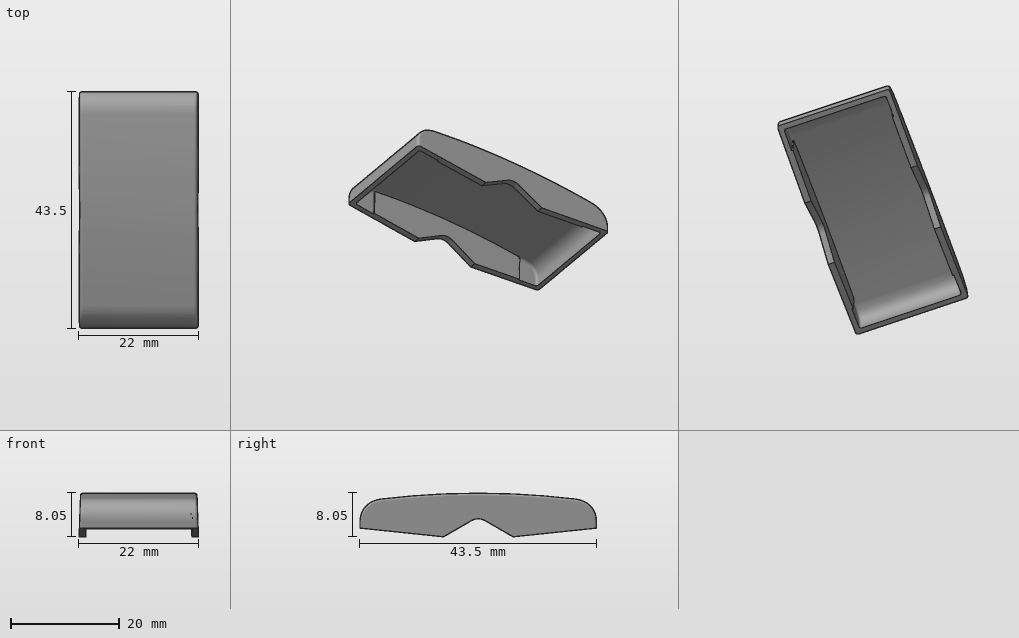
import cadquery as cq
import math

width = 21.99
length = 43.5
height = 8.05
side_draft = 2.0

crown_radius = 150.0
blend_radius = 6.0
corner_radius = 4.0
edge_fillet = 0.5

end_bottom_height = 1.6
foot_offset = 6.4
notch_angle = 30.0
notch_radius = 2.5

wall = 1.0
cavity_corner_radius = 0.5
side_pad_thickness = 0.25
side_pad_setback = 5.2

half_length = length / 2
half_width = width / 2
margin = 1.0


def domed_prism(inset):
    """Prism along X with the domed outline, moved inwards by inset at the top and ends."""
    crown = crown_radius - inset
    blend = blend_radius - inset
    corner = corner_radius - inset

    crown_z = height - crown_radius
    corner_y = half_length - corner_radius
    crown_edge_angle = math.asin(corner_y / crown_radius)
    blend_offset = crown_radius - blend_radius
    blend_y = blend_offset * math.sin(crown_edge_angle)
    blend_z = crown_z + blend_offset * math.cos(crown_edge_angle)
    blend_end_angle = math.asin((corner_y - blend_y) / (blend_radius - corner_radius))
    corner_z = blend_z + (blend_radius - corner_radius) * math.cos(blend_end_angle)

    def on_arc(center_y, center_z, radius, angle):
        return center_y + radius * math.sin(angle), center_z + radius * math.cos(angle)

    right_angle = math.pi / 2
    crown_edge = on_arc(0, crown_z, crown, crown_edge_angle)
    blend_middle = on_arc(blend_y, blend_z, blend, (crown_edge_angle + blend_end_angle) / 2)
    blend_end = on_arc(blend_y, blend_z, blend, blend_end_angle)
    corner_middle = on_arc(corner_y, corner_z, corner, (blend_end_angle + right_angle) / 2)
    corner_end = on_arc(corner_y, corner_z, corner, right_angle)

    def mirrored(point):
        return -point[0], point[1]

    return (
        cq.Workplane("YZ")
        .moveTo(-corner_end[0], -margin)
        .lineTo(corner_end[0], -margin)
        .lineTo(*corner_end)
        .threePointArc(corner_middle, blend_end)
        .threePointArc(blend_middle, crown_edge)
        .threePointArc((0, crown_z + crown), mirrored(crown_edge))
        .threePointArc(mirrored(blend_middle), mirrored(blend_end))
        .threePointArc(mirrored(corner_middle), mirrored(corner_end))
        .close()
        .extrude(half_width + margin, both=True)
    )


def drafted_block(inset, block_length):
    """Block along Y whose sides lean inwards, set in from the outer sides by inset."""
    slope = math.tan(math.radians(side_draft))
    top_z = height + margin
    bottom_half = half_width - inset + margin * slope
    top_half = half_width - inset - top_z * slope
    return (
        cq.Workplane("XZ")
        .polyline([(-bottom_half, -margin), (bottom_half, -margin), (top_half, top_z), (-top_half, top_z)])
        .close()
        .extrude(block_length / 2, both=True)
    )


def outer_body():
    """Solid domed block with drafted sides and rounded side rims."""
    body = domed_prism(0).intersect(drafted_block(0, length + 2 * margin))
    rim_edges = [edge for edge in body.faces("<X or >X").edges().vals() if edge.Center().z > 0]
    return body.newObject(rim_edges).fillet(edge_fillet)


def cavity():
    """Hollow with a constant wall; the long walls are thicker away from the ends."""
    hollow = domed_prism(wall).intersect(drafted_block(wall, length))
    upright_corners = hollow.faces("<Y or >Y").edges("not(|X)")
    hollow = upright_corners.fillet(cavity_corner_radius)

    pad_length = length - 2 * side_pad_setback
    pads = drafted_block(0, pad_length).cut(drafted_block(wall + side_pad_thickness, pad_length))
    return hollow.cut(pads)


def underside_cutter():
    """Everything below the sloping feet, with the rounded notch across the middle."""
    notch_peak = foot_offset * math.tan(math.radians(notch_angle))
    end_slope = end_bottom_height / (half_length - foot_offset)
    outer_y = half_length + margin
    outer_z = end_bottom_height + margin * end_slope
    floor_z = -2 * margin
    cutter = (
        cq.Workplane("YZ")
        .polyline([
            (-outer_y, floor_z),
            (-outer_y, outer_z),
            (-foot_offset, 0),
            (0, notch_peak),
            (foot_offset, 0),
            (outer_y, outer_z),
            (outer_y, floor_z),
        ])
        .close()
        .extrude(half_width + margin, both=True)
    )
    peak_selector = cq.selectors.NearestToPointSelector((0, 0, notch_peak))
    return cutter.edges("|X").edges(peak_selector).fillet(notch_radius)


result = outer_body().cut(cavity()).cut(underside_cutter())